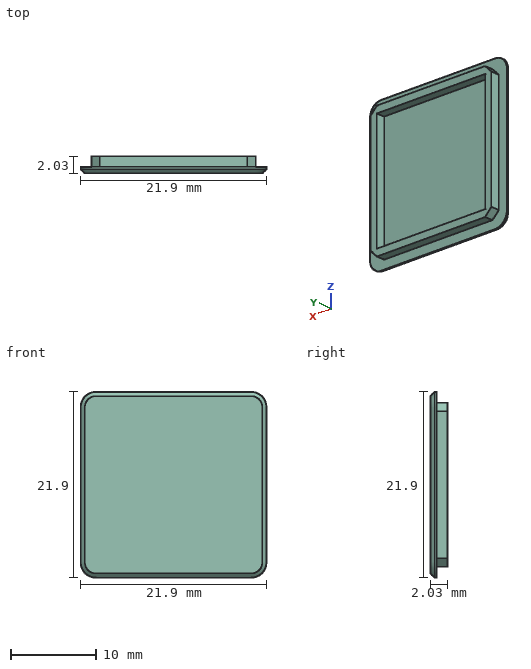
import cadquery as cq

flange_side = 21.85
flange_thickness = 0.76
flange_corner_radius = 1.81
bevel = 0.5

total_depth = 2.03
rim_setback = 1.27
rim_side = flange_side - 2 * rim_setback
rim_depth = total_depth - flange_thickness
rim_corner_cut = 1.0
rim_wall = 1.0


def square_block(side, start_y, depth):
    """Square block centred on the Y axis, running from start_y toward +Y."""
    middle_y = start_y + depth / 2
    return cq.Workplane("XY").box(side, depth, side).translate((0, middle_y, 0))


def make_flange():
    plate = square_block(flange_side, 0, flange_thickness)
    plate = plate.edges("|Y").fillet(flange_corner_radius)
    return plate.faces("<Y").chamfer(bevel)


def make_rim():
    frame = square_block(rim_side, flange_thickness, rim_depth)
    frame = frame.edges("|Y").chamfer(rim_corner_cut)
    opening = square_block(rim_side - 2 * rim_wall, flange_thickness, rim_depth)
    return frame.cut(opening)


result = make_flange().union(make_rim())